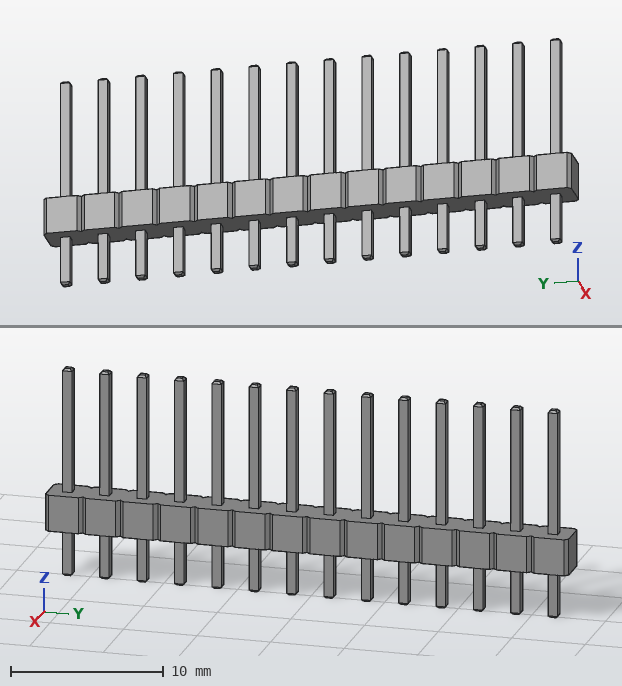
import cadquery as cq

body_length = 35.55
body_width = 2.5
body_height = 2.5
pin_count = 14
pitch = body_length / pin_count
corner_chamfer = 0.25

pin_side = 0.65
pin_above_body = 8.5
pin_below_body = 3.3
pin_length = pin_below_body + body_height + pin_above_body
pin_tip_chamfer = 0.15

pin_offsets = [(index - (pin_count - 1) / 2) * pitch for index in range(pin_count)]


def make_body():
    """Strip resting on Z = 0, made of one chamfered cell per pin."""
    strip = cq.Workplane("XY")
    for offset in pin_offsets:
        cell = (
            cq.Workplane("XY")
            .box(body_width, pitch, body_height, centered=(True, True, False))
            .edges("|Z")
            .chamfer(corner_chamfer)
            .translate((0, offset, 0))
        )
        strip = strip.add(cell)
    return strip.combine(clean=True)


def make_pin():
    """Square pin through the body, with all tip edges chamfered at both ends."""
    return (
        cq.Workplane("XY")
        .box(pin_side, pin_side, pin_length, centered=(True, True, False))
        .faces("<Z or >Z")
        .edges()
        .chamfer(pin_tip_chamfer)
        .translate((0, 0, -pin_below_body))
    )


result = make_body()
pin = make_pin()
for offset in pin_offsets:
    result = result.union(pin.translate((0, offset, 0)))